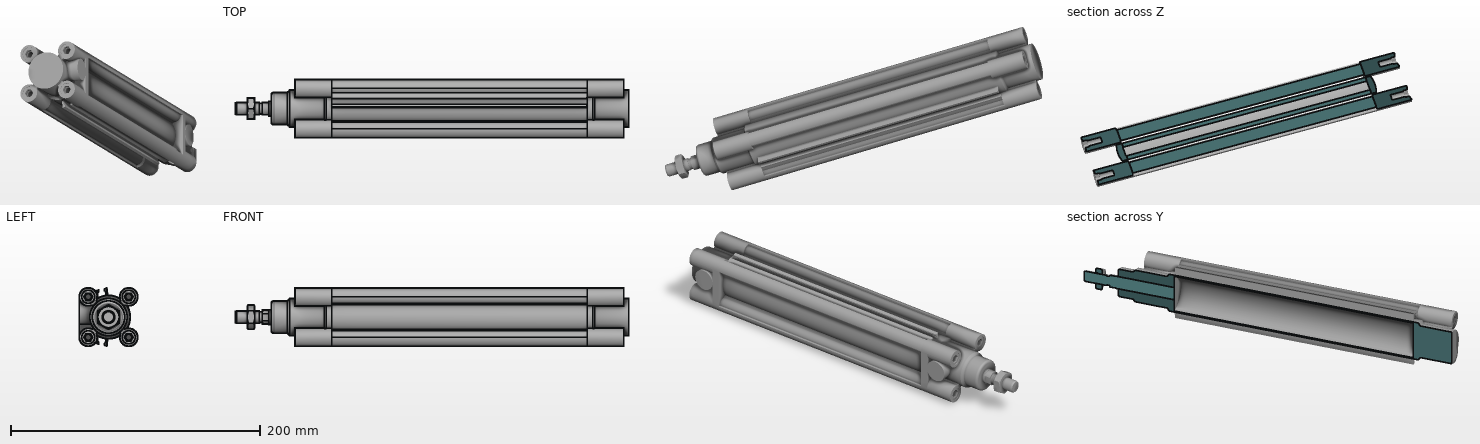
import cadquery as cq
import math


NUT_START = 9.8
UNDERCUT_START = 19.5
THREAD_SHOULDER = 22.0
WRENCH_END = 27.0
NOSE_FACE = 29.0
NOSE_END = 42.0
HEAD_FACE = 48.0
STROKE = 170.0
BODY_LENGTH = STROKE + 94.0
HEAD_LENGTH = 29.5
TUBE_START = HEAD_FACE + HEAD_LENGTH
TUBE_END = HEAD_FACE + BODY_LENGTH - HEAD_LENGTH
TUBE_LENGTH = TUBE_END - TUBE_START
BODY_MIDDLE = HEAD_FACE + BODY_LENGTH / 2

ROD_DIAMETER = 12.0
THREAD_DIAMETER = 10.0
TIP_DIAMETER = 8.65
TIP_CHAMFER_LENGTH = 1.2
UNDERCUT_DIAMETER = 8.8
WRENCH_DIAMETER = 11.5
WRENCH_FLATS = 10.0

NUT_FLATS = 17.0
NUT_CORNERS = NUT_FLATS / math.cos(math.pi / 6)
NUT_THICKNESS = 6.0
NUT_CHAMFER_ANGLE = math.radians(30)

BOLT_SPACING = 32.5
LOBE_DIAMETER = 14.5
HALF_WIDTH = (BOLT_SPACING + LOBE_DIAMETER) / 2
NOSE_DIAMETER = 26.0
NOSE_FILLET = 2.0
COLLAR_DIAMETER = 30.0
COLLAR_BEVEL = (COLLAR_DIAMETER - NOSE_DIAMETER) / 2
REAR_SPIGOT_LENGTH = 4.0
BAND_DIAMETER = 35.0
BAND_LENGTH = 4.5
BAND_BEVEL_LENGTH = 1.6
BAND_START = TUBE_START - BAND_LENGTH
BEVEL_START = BAND_START - BAND_BEVEL_LENGTH
FLANGE_INNER_SIDE = 9.5
PORT_BOSS_RADIUS = 8.7
PORT_BOSS_HEIGHT = 3.0
PORT_BOSS_SETBACK = 14.7
HEAD_WEB_WIDTH = 5.0
BOLT_RECESS_DIAMETER = 10.5
BOLT_RECESS_DEPTH = 0.5
SOCKET_FLATS = 6.0
SOCKET_CORNERS = SOCKET_FLATS / math.cos(math.pi / 6)
SOCKET_DEPTH = 4.0
BOLT_THREAD_DIAMETER = 4.92
BOLT_THREAD_DEPTH = 15.0

BORE_DIAMETER = 32.0
TUBE_LOBE_CORE_RADIUS = 5.25
TUBE_WEB_FOOT = 9.9

BOLT_CENTERS = [
    (side_y * BOLT_SPACING / 2, side_z * BOLT_SPACING / 2)
    for side_y in (-1, 1)
    for side_z in (-1, 1)
]


def section_plane(x):
    """Plane across the axis at x, its local coordinates being (Y, Z) and its normal +X."""
    return cq.Workplane("YZ", origin=(x, 0, 0))


def bar(diameter, start, end):
    """Round bar along X, centred on the axis."""
    return section_plane(start).circle(diameter / 2).extrude(end - start)


def make_rod():
    tip_radius = TIP_DIAMETER / 2
    thread_radius = THREAD_DIAMETER / 2
    undercut_radius = UNDERCUT_DIAMETER / 2
    threaded_end = (
        cq.Workplane("XY")
        .moveTo(0, 0)
        .lineTo(0, tip_radius)
        .lineTo(TIP_CHAMFER_LENGTH, thread_radius)
        .lineTo(UNDERCUT_START, thread_radius)
        .lineTo(UNDERCUT_START, undercut_radius)
        .lineTo(THREAD_SHOULDER, undercut_radius)
        .lineTo(THREAD_SHOULDER, 0)
        .close()
        .revolve(360, (0, 0, 0), (1, 0, 0))
    )
    wrench_part = bar(WRENCH_DIAMETER, THREAD_SHOULDER, WRENCH_END).intersect(
        section_plane(THREAD_SHOULDER)
        .rect(WRENCH_FLATS, WRENCH_DIAMETER)
        .extrude(WRENCH_END - THREAD_SHOULDER)
    )
    shaft = bar(ROD_DIAMETER, WRENCH_END, TUBE_START)
    return threaded_end.union(wrench_part).union(shaft)


def make_nut():
    hexagon = (
        section_plane(NUT_START)
        .transformed(rotate=(0, 0, 90))
        .polygon(6, NUT_CORNERS)
        .circle(THREAD_DIAMETER / 2)
        .extrude(NUT_THICKNESS)
    )
    corner_radius = NUT_CORNERS / 2
    face_radius = NUT_FLATS / 2
    chamfer_length = (corner_radius - face_radius) * math.tan(NUT_CHAMFER_ANGLE)
    nut_end = NUT_START + NUT_THICKNESS
    envelope = (
        cq.Workplane("XY")
        .moveTo(NUT_START, 0)
        .lineTo(NUT_START, face_radius)
        .lineTo(NUT_START + chamfer_length, corner_radius)
        .lineTo(nut_end - chamfer_length, corner_radius)
        .lineTo(nut_end, face_radius)
        .lineTo(nut_end, 0)
        .close()
        .revolve(360, (0, 0, 0), (1, 0, 0))
    )
    return hexagon.intersect(envelope)


def make_head_block(collar):
    """The part both heads share, facing -X: lobes, webs, band, flange and port boss round a collar."""
    band = bar(BAND_DIAMETER, BAND_START, TUBE_START)
    bevel = (
        section_plane(BEVEL_START)
        .circle(COLLAR_DIAMETER / 2)
        .workplane(offset=BAND_BEVEL_LENGTH)
        .circle(BAND_DIAMETER / 2)
        .loft(ruled=True)
    )
    flange_width = HALF_WIDTH - FLANGE_INNER_SIDE
    flange = (
        section_plane(BEVEL_START)
        .center(HALF_WIDTH - flange_width / 2, 0)
        .rect(flange_width, BOLT_SPACING)
        .extrude(TUBE_START - BEVEL_START)
    )
    lobes = section_plane(HEAD_FACE).pushPoints(BOLT_CENTERS).circle(LOBE_DIAMETER / 2).extrude(HEAD_LENGTH)
    web_length = BOLT_SPACING * math.sqrt(2)
    webbed_collar = collar
    for angle in (45, -45):
        web = (
            section_plane(HEAD_FACE)
            .transformed(rotate=(0, 0, angle))
            .rect(web_length, HEAD_WEB_WIDTH)
            .extrude(HEAD_LENGTH)
        )
        webbed_collar = webbed_collar.union(web)
    port_boss = (
        cq.Workplane("XZ", origin=(HEAD_FACE + PORT_BOSS_SETBACK, 0, PORT_BOSS_HEIGHT))
        .circle(PORT_BOSS_RADIUS)
        .extrude(-HALF_WIDTH)
    )
    block = webbed_collar.union(bevel).union(band).union(flange).union(port_boss).union(lobes)

    recesses = section_plane(HEAD_FACE).pushPoints(BOLT_CENTERS).circle(BOLT_RECESS_DIAMETER / 2)
    sockets = section_plane(HEAD_FACE).pushPoints(BOLT_CENTERS).polygon(6, SOCKET_CORNERS)
    threads = section_plane(HEAD_FACE).pushPoints(BOLT_CENTERS).circle(BOLT_THREAD_DIAMETER / 2)
    block = block.cut(recesses.extrude(BOLT_RECESS_DEPTH))
    block = block.cut(sockets.extrude(SOCKET_DEPTH))
    block = block.cut(threads.extrude(BOLT_THREAD_DEPTH))
    return block


def make_front_head():
    nose = bar(NOSE_DIAMETER, NOSE_FACE, NOSE_END).faces("<X").edges().fillet(NOSE_FILLET)
    collar = bar(COLLAR_DIAMETER, NOSE_END, BAND_START).faces("<X").edges().chamfer(COLLAR_BEVEL)
    bearing = bar(ROD_DIAMETER, NOSE_FACE, TUBE_START)
    return make_head_block(collar).union(nose).cut(bearing)


def make_rear_head():
    collar = bar(COLLAR_DIAMETER, HEAD_FACE - REAR_SPIGOT_LENGTH, BAND_START)
    return make_head_block(collar).mirror("YZ", (BODY_MIDDLE, 0, 0))


def make_tube_lobe():
    """Corner of the tube at -Y, +Z: a round core, a wider quarter round outside and a web to the wall."""
    center = BOLT_SPACING / 2
    outer_diagonal = center + LOBE_DIAMETER / 2 * math.sin(math.pi / 4)
    core = section_plane(TUBE_START).center(-center, center).circle(TUBE_LOBE_CORE_RADIUS).extrude(TUBE_LENGTH)
    quarter_round = (
        section_plane(TUBE_START)
        .moveTo(-center, center)
        .lineTo(-HALF_WIDTH, center)
        .threePointArc((-outer_diagonal, outer_diagonal), (-center, HALF_WIDTH))
        .close()
        .extrude(TUBE_LENGTH)
    )
    core_side = center - TUBE_LOBE_CORE_RADIUS
    foot_far = math.sqrt((BAND_DIAMETER / 2) ** 2 - TUBE_WEB_FOOT**2)
    root = (BORE_DIAMETER + BAND_DIAMETER) / 4 * math.sin(math.pi / 4)
    web = (
        section_plane(TUBE_START)
        .polyline(
            [
                (-center, core_side),
                (-foot_far, TUBE_WEB_FOOT),
                (-root, root),
                (-TUBE_WEB_FOOT, foot_far),
                (-core_side, center),
            ]
        )
        .close()
        .extrude(TUBE_LENGTH)
    )
    return core.union(quarter_round).union(web)


def make_sensor_slot_walls():
    """The two walls of the sensor slot on the +Z side, hooked towards each other; points are (Y, Z)."""
    wall_root = 16.8
    rib = [
        (0.5, wall_root),
        (1.3, 23.4),
        (3.4, 22.4),
        (3.4, 21.3),
        (2.2, 20.0),
        (2.2, wall_root),
    ]
    lip = [
        (8.6, wall_root),
        (8.6, 19.8),
        (7.9, 20.4),
        (7.9, 21.8),
        (9.2, 21.2),
        (13.0, 20.0),
        (13.0, wall_root),
    ]
    walls = section_plane(TUBE_START).polyline(rib).close().extrude(TUBE_LENGTH)
    return walls.union(section_plane(TUBE_START).polyline(lip).close().extrude(TUBE_LENGTH))


def make_tube():
    tube = bar(BAND_DIAMETER, TUBE_START, TUBE_END)
    upper_left = make_tube_lobe()
    upper_right = upper_left.mirror("XZ")
    slot_walls = make_sensor_slot_walls()
    for piece in (upper_left, upper_right, slot_walls):
        tube = tube.union(piece).union(piece.mirror("XY"))
    return tube.cut(bar(BORE_DIAMETER, TUBE_START, TUBE_END))


rod = make_rod()
nut = make_nut()
front_head = make_front_head()
tube = make_tube()
rear_head = make_rear_head()

result = cq.Compound.makeCompound(
    [rod.val(), nut.val(), front_head.val(), tube.val(), rear_head.val()]
)